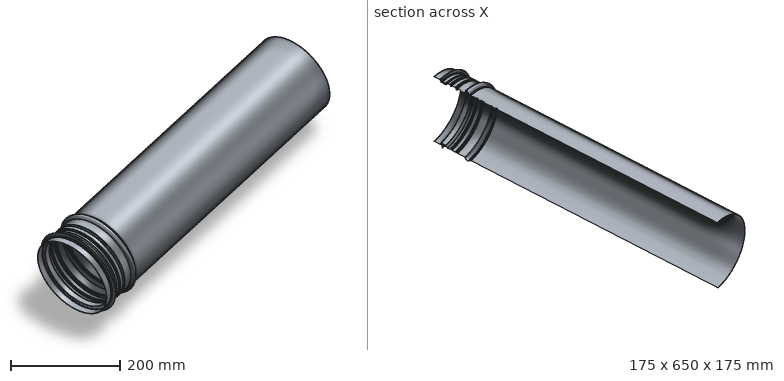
import cadquery as cq

length = 650.0
sheet = 1.05

spigot_radius = 162.5 / 2
tube_radius = spigot_radius + sheet
rim_radius = 175.0 / 2

bead_y = 76.0
bead_radius = 6.0
bead_centre_radius = rim_radius - bead_radius
bead_end_y = bead_y + bead_radius
sleeve_end_y = 84.5

seal_radius = 160.0 / 2
collar_radius = 160.5 / 2
collar_start_y = 16.0
collar_end_y = 20.0
lip_start_y = 17.5
lip_thickness = 0.5

ring_radius = 162.0 / 2


class Groove:
    """Groove rolled into the spigot sheet, with a flat bottom between two sloped flanks."""

    def __init__(self, bottom_radius, start, end, start_flank, end_flank):
        self.bottom_radius = bottom_radius
        self.start = start
        self.end = end
        self.bottom_start = start + start_flank
        self.bottom_end = end - end_flank

    def points(self, depth):
        """Corners of the groove, moved inward by depth."""
        return [
            (spigot_radius - depth, self.start),
            (self.bottom_radius - depth, self.bottom_start),
            (self.bottom_radius - depth, self.bottom_end),
            (spigot_radius - depth, self.end),
        ]


seal_groove = Groove(152.0 / 2, start=13.0, end=30.5, start_flank=2.5, end_flank=4.0)
plain_groove = Groove(157.0 / 2, start=36.0, end=40.0, start_flank=1.0, end_flank=1.0)
ring_groove = Groove(155.0 / 2, start=48.0, end=53.0, start_flank=2.0, end_flank=0.5)
grooves = (seal_groove, plain_groove, ring_groove)


def turn(outline):
    """Close an outline of (radius, y) points and turn it into a solid about the Y axis."""
    return outline.close().revolve(360, (0, 0, 0), (0, 1, 0))


def wall_points(depth):
    """Spigot wall from the open end past the grooves, moved inward by depth."""
    points = [(spigot_radius - depth, 0)]
    for groove in grooves:
        points += groove.points(depth)
    return points


def make_tube():
    """Plain tube that starts at the bead and fits around the spigot's sleeve."""
    return turn(
        cq.Workplane("XY").polyline(
            [
                (tube_radius, bead_end_y),
                (tube_radius, length),
                (spigot_radius, length),
                (spigot_radius, bead_end_y),
            ]
        )
    )


def make_spigot():
    """Sheet spigot with its grooves, hollow bead and sleeve."""
    bore_radius = spigot_radius - sheet
    hollow_radius = bead_radius - sheet
    outline = (
        cq.Workplane("XY")
        .polyline(wall_points(0))
        .lineTo(spigot_radius, bead_y - bead_radius)
        .lineTo(bead_centre_radius, bead_y - bead_radius)
        .threePointArc((rim_radius, bead_y), (bead_centre_radius, bead_end_y))
        .lineTo(spigot_radius, bead_end_y)
        .lineTo(spigot_radius, sleeve_end_y)
        .lineTo(bore_radius, sleeve_end_y)
        .lineTo(bore_radius, bead_y + hollow_radius)
        .lineTo(bead_centre_radius, bead_y + hollow_radius)
        .threePointArc((rim_radius - sheet, bead_y), (bead_centre_radius, bead_y - hollow_radius))
        .lineTo(bore_radius, bead_y - hollow_radius)
    )
    for radius, y in reversed(wall_points(sheet)):
        outline = outline.lineTo(radius, y)
    return turn(outline)


def make_lip_seal():
    """Seal that fills the bottom of its groove, with a thin lip on a low collar."""
    bottom_radius = seal_groove.bottom_radius
    start, end = seal_groove.bottom_start, seal_groove.bottom_end
    lip_end_y = lip_start_y + lip_thickness
    return turn(
        cq.Workplane("XY").polyline(
            [
                (bottom_radius, start),
                (seal_radius, start),
                (seal_radius, collar_start_y),
                (collar_radius, collar_start_y),
                (collar_radius, lip_start_y),
                (rim_radius, lip_start_y),
                (rim_radius, lip_end_y),
                (collar_radius, lip_end_y),
                (collar_radius, collar_end_y),
                (seal_radius, collar_end_y),
                (seal_radius, end),
                (bottom_radius, end),
            ]
        )
    )


def make_ring():
    """Round-topped ring standing on the bottom of its groove."""
    bottom_radius = ring_groove.bottom_radius
    start, end = ring_groove.bottom_start, ring_groove.bottom_end
    crown_radius = (end - start) / 2
    shoulder_radius = ring_radius - crown_radius
    return turn(
        cq.Workplane("XY")
        .moveTo(bottom_radius, start)
        .lineTo(shoulder_radius, start)
        .threePointArc((ring_radius, start + crown_radius), (shoulder_radius, end))
        .lineTo(bottom_radius, end)
    )


tube = make_tube()
spigot = make_spigot()
lip_seal = make_lip_seal()
ring = make_ring()

result = cq.Compound.makeCompound([tube.val(), spigot.val(), lip_seal.val(), ring.val()])